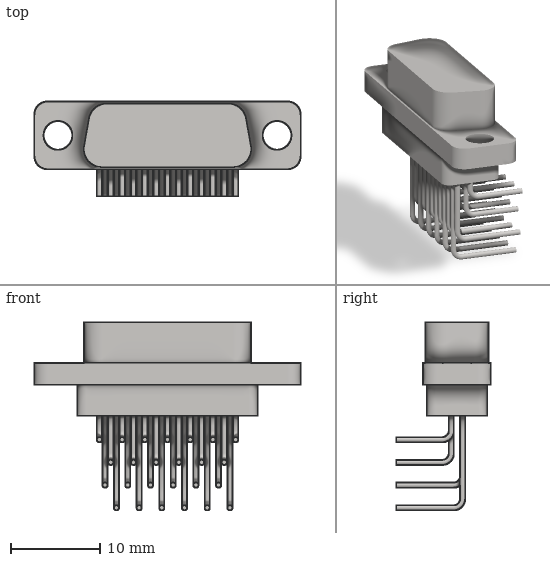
import cadquery as cq
import math


flange_length = 29.8
flange_depth = 7.6
flange_height = 2.45
flange_corner_radius = 1.5
hole_diameter = 3.2
hole_spacing = 24.5

shell_width = 18.7
shell_depth = 7.1
shell_height = 4.55
shell_corner_radius = 2.0
shell_side_angle = 10.0

base_length = 20.2
base_depth = 6.8
base_height = 3.5
base_corner_radius = 1.0

long_row_pins = 7
short_row_pins = 6
long_row_span = 15.23
pin_pitch = long_row_span / (long_row_pins - 1)
row_stagger = pin_pitch / 4
pin_diameter = 0.6
pin_bend_radius = 1.0
pin_overhang = 3.0
first_row_drop = 2.65
pin_embed = 0.3

pin_plane_y = pin_pitch / 4
pin_tip_y = -flange_depth / 2 - pin_overhang

pin_rows = [
    (long_row_pins, 0, -pin_plane_y),
    (short_row_pins, 0, -pin_plane_y),
    (short_row_pins, -row_stagger, pin_plane_y),
    (short_row_pins, row_stagger, pin_plane_y),
]


def rounded_block(length, depth, height, corner_radius):
    """Block standing on Z = 0 with rounded upright edges."""
    block = cq.Workplane("XY").box(length, depth, height, centered=(True, True, False))
    return block.edges("|Z").fillet(corner_radius)


def make_flange():
    flange = rounded_block(flange_length, flange_depth, flange_height, flange_corner_radius)
    hole_centres = [(-hole_spacing / 2, 0), (hole_spacing / 2, 0)]
    return flange.faces(">Z").workplane().pushPoints(hole_centres).hole(hole_diameter)


def make_shell():
    corner_tangent = shell_corner_radius / math.tan(math.radians((90 - shell_side_angle) / 2))
    wide_half = shell_width / 2 - shell_corner_radius + corner_tangent
    narrow_half = wide_half - shell_depth * math.tan(math.radians(shell_side_angle))
    half_depth = shell_depth / 2
    corners = [
        (-wide_half, -half_depth),
        (wide_half, -half_depth),
        (narrow_half, half_depth),
        (-narrow_half, half_depth),
    ]
    shell = cq.Workplane("XY", origin=(0, 0, flange_height)).polyline(corners).close().extrude(shell_height)
    return shell.edges("|Z").fillet(shell_corner_radius)


def make_base():
    base = rounded_block(base_length, base_depth, base_height, base_corner_radius)
    return base.translate((0, 0, -base_height))


def make_pin(x, y, axis_z):
    """Pin going down from the base at (x, y), then bending to run toward -Y at height axis_z."""
    top_z = -base_height + pin_embed
    bend_offset = pin_bend_radius * math.sqrt(0.5)
    bend_centre_y = y - pin_bend_radius
    bend_centre_z = axis_z + pin_bend_radius
    path = (
        cq.Workplane("YZ", origin=(x, 0, 0))
        .moveTo(y, top_z)
        .lineTo(y, bend_centre_z)
        .threePointArc(
            (bend_centre_y + bend_offset, bend_centre_z - bend_offset),
            (bend_centre_y, axis_z),
        )
        .lineTo(pin_tip_y, axis_z)
    )
    return cq.Workplane("XY", origin=(x, y, top_z)).circle(pin_diameter / 2).sweep(path)


result = make_flange().union(make_shell()).union(make_base())

for row, (pin_count, row_centre_x, leg_y) in enumerate(pin_rows):
    row_z = -base_height - first_row_drop - row * pin_pitch
    for column in range(pin_count):
        pin_x = row_centre_x + (column - (pin_count - 1) / 2) * pin_pitch
        result = result.union(make_pin(pin_x, leg_y, row_z))